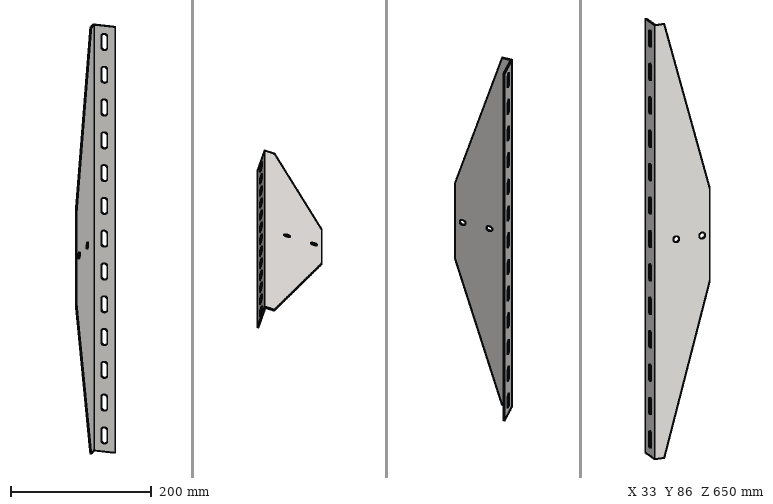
import cadquery as cq

flange_width = 33.0
web_depth = 86.0
height = 650.0
sheet = 2.0

end_depth = 15.0
front_edge_height = 140.5

slot_count = 13
slot_pitch = 50.0
slot_length = 25.0
slot_width = 9.0
slot_center_x = 17.0

hole_diameter = 9.0
hole_spacing = 40.0
rear_hole_setback = 34.0


def make_web():
    """Tapered plate in the YZ plane, with its rear edge at Y = 0."""
    half_height = height / 2
    half_front = front_edge_height / 2
    outline = [
        (0, -half_height),
        (0, half_height),
        (-end_depth, half_height),
        (-web_depth, half_front),
        (-web_depth, -half_front),
        (-end_depth, -half_height),
    ]
    return cq.Workplane("YZ").polyline(outline).close().extrude(sheet)


def make_flange():
    """Flat rear strip running the full height."""
    strip = cq.Workplane("XY").box(flange_width, sheet, height, centered=(False, False, True))
    return strip.translate((0, -sheet, 0))


def make_slots():
    """Cutters for the vertical slots through the flange."""
    return (
        cq.Workplane("XZ")
        .center(slot_center_x, 0)
        .rarray(6.5, slot_pitch, 1, slot_count)
        .slot2D(slot_length, slot_width, angle=90)
        .extrude(sheet)
    )


def make_web_holes():
    """Cutters for the two round holes through the web."""
    front_hole_setback = rear_hole_setback + hole_spacing
    return (
        cq.Workplane("YZ")
        .pushPoints([(-rear_hole_setback, 0), (-front_hole_setback, 0)])
        .circle(hole_diameter / 2)
        .extrude(sheet)
    )


result = make_web().union(make_flange()).cut(make_slots()).cut(make_web_holes())